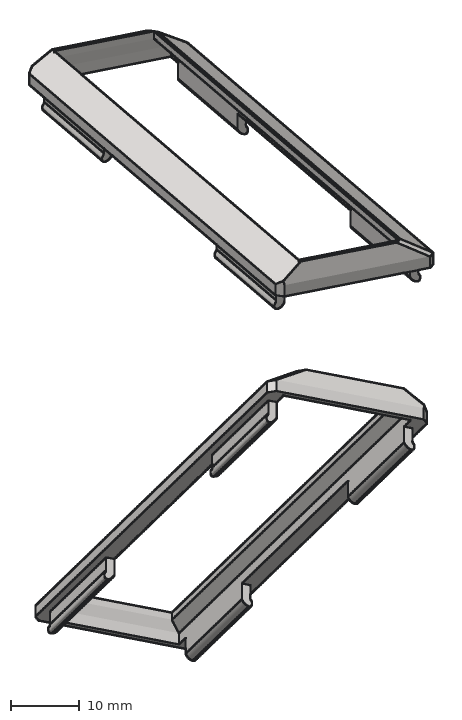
import cadquery as cq

length = 84.5
width = 25.4
frame_height = 4.7
rim_height = 1.8
corner_chamfer = 1.0

end_lean = 0.7
back_lean = 5.1
front_lean = 3.9

window_end_inset = 1.35
window_back_inset = 5.5
window_edge_height = 1.2
end_wall = 1.0
side_wall = 2.6

clip_length = 20.0
clip_end_inset = 3.4
clip_outer_inset = 1.3
clip_drop = 3.5
clip_inner_drop = 2.5
bead_start = (clip_outer_inset, 2.0)
bead_crest = (1.0, 2.6)
bead_belly = (1.0, 3.1)
clip_tip = (1.5, clip_drop)
clip_heel = (2.2, 3.1)

half_length = length / 2
half_width = width / 2
window_edge_bottom = frame_height - window_edge_height


def inset_rectangle(end, front, back):
    """Corners of the frame rectangle moved inward at its ends, front and back."""
    x = half_length - end
    y_front = -half_width + front
    y_back = half_width - back
    return [(-x, y_front), (x, y_front), (x, y_back), (-x, y_back)]


def outer_outline(end, front, back):
    """Inset rectangle with the two back corners chamfered."""
    front_left, front_right, back_right, back_left = inset_rectangle(end, front, back)
    x, y = back_right
    cut = corner_chamfer
    return [front_left, front_right, (x, y - cut), (x - cut, y), (-x + cut, y), (-x, y - cut)]


def prism(points, bottom, height):
    return cq.Workplane("XY").workplane(offset=bottom).polyline(points).close().extrude(height)


def taper(bottom_points, top_points, bottom, height):
    """Solid with flat sides between two matching outlines."""
    lower = cq.Workplane("XY").workplane(offset=bottom).polyline(bottom_points).close()
    return lower.workplane(offset=height).polyline(top_points).close().loft(ruled=True, combine=True)


def make_body():
    base = outer_outline(0, 0, 0)
    top = outer_outline(end_lean, front_lean, back_lean)
    rim = prism(base, 0, rim_height)
    body = rim.union(taper(base, top, rim_height, frame_height - rim_height))
    for side in (-1, 1):
        x = side * half_length
        corner = [
            (x, -half_width),
            (x - side * corner_chamfer, -half_width),
            (x, -half_width + corner_chamfer),
        ]
        body = body.cut(prism(corner, 0, frame_height))
    return body


def make_opening():
    """Straight rim walls, a sloping ceiling and the straight window edge."""
    cavity = inset_rectangle(end_wall, side_wall, side_wall)
    window = inset_rectangle(window_end_inset, front_lean, window_back_inset)
    opening = prism(cavity, 0, rim_height)
    opening = opening.union(taper(cavity, window, rim_height, window_edge_bottom - rim_height))
    return opening.union(prism(window, window_edge_bottom, window_edge_height))


def make_clip(x_side, y_side):
    """One clip with a rounded bead along its outer lower edge."""

    def point(inset, drop):
        return (y_side * (half_width - inset), -drop)

    bead_curve = [point(*bead_crest), point(*bead_belly), point(*clip_tip)]
    x_start = half_length - clip_end_inset - clip_length
    if x_side < 0:
        x_start = -half_length + clip_end_inset
    return (
        cq.Workplane("YZ")
        .workplane(offset=x_start)
        .moveTo(*point(clip_outer_inset, 0))
        .lineTo(*point(*bead_start))
        .spline(bead_curve, tangents=[(0, -1), (-y_side, 0)], includeCurrent=True)
        .threePointArc(point(*clip_heel), point(side_wall, clip_inner_drop))
        .lineTo(*point(side_wall, 0))
        .close()
        .extrude(clip_length)
    )


result = make_body().cut(make_opening())
for x_side in (-1, 1):
    for y_side in (-1, 1):
        result = result.union(make_clip(x_side, y_side))